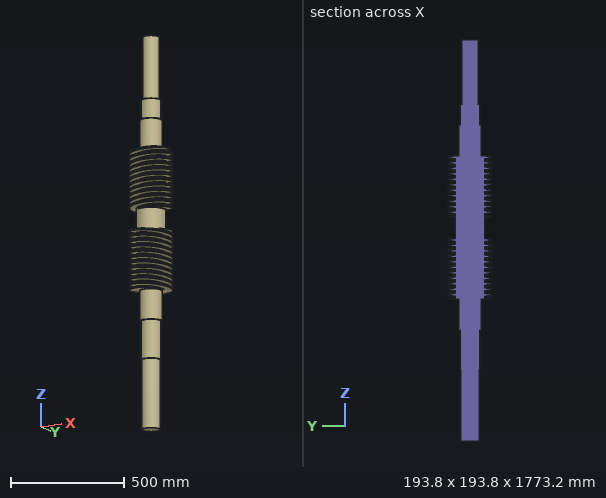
import math

import cadquery as cq

TOTAL_LENGTH = 1773.2
THREAD_DIAMETER = 193.8
ROOT_DIAMETER = 130.82

BOTTOM_JOURNAL_DIAMETER = 85.0
BOTTOM_JOURNAL_LENGTH = 315.0
SEAT_DIAMETER = 90.0
BOTTOM_SEAT_LENGTH = 175.0
SHOULDER_DIAMETER = 100.0
SHOULDER_LENGTH = 137.0

TOP_JOURNAL_DIAMETER = 75.0
TOP_JOURNAL_LENGTH = 285.0
TOP_SEAT_LENGTH = 90.0

NECK_LENGTH = 94.2

STARTS = 2
AXIAL_PITCH = 24.2
LEAD = STARTS * AXIAL_PITCH
TIP_ANGLE = 52.0
FLANK_ANGLE = 35.0
LOWER_TOOTH_ANGLE = 57.5
UPPER_TURN = 90.0
OVERRUN = 2.0

bottom_seat_z = BOTTOM_JOURNAL_LENGTH
bottom_shoulder_z = bottom_seat_z + BOTTOM_SEAT_LENGTH
worms_bottom_z = bottom_shoulder_z + SHOULDER_LENGTH
top_journal_z = TOTAL_LENGTH - TOP_JOURNAL_LENGTH
top_seat_z = top_journal_z - TOP_SEAT_LENGTH
worms_top_z = top_seat_z - SHOULDER_LENGTH
worms_length = worms_top_z - worms_bottom_z
worm_length = (worms_length - NECK_LENGTH) / 2
neck_middle_z = worms_bottom_z + worms_length / 2

root_radius = ROOT_DIAMETER / 2
tip_radius = THREAD_DIAMETER / 2


def polar(radius, degrees):
    angle = math.radians(degrees)
    return (radius * math.cos(angle), radius * math.sin(angle))


def cylinder(diameter, bottom_z, top_z):
    return cq.Workplane("XY").workplane(offset=bottom_z).circle(diameter / 2).extrude(top_z - bottom_z)


def thread_section(tooth_degrees):
    """Cross-section of the thread, with the middle of its first tooth at the given direction.

    The teeth overrun the root and the tip, for the cylinders there to bound them.
    """
    inner_radius = root_radius - OVERRUN
    outer_radius = tip_radius + OVERRUN
    middle_radius = (root_radius + tip_radius) / 2
    overrun_angle = FLANK_ANGLE * OVERRUN / (tip_radius - root_radius)
    half_tip = TIP_ANGLE / 2 - overrun_angle
    half_middle = (TIP_ANGLE + FLANK_ANGLE) / 2
    half_root = TIP_ANGLE / 2 + FLANK_ANGLE + overrun_angle
    tooth_spacing = 360 / STARTS
    section = cq.Workplane("XY").moveTo(*polar(inner_radius, tooth_degrees - half_root))
    for start in range(STARTS):
        tooth = tooth_degrees + start * tooth_spacing
        next_tooth = tooth + tooth_spacing
        section = (
            section
            .threePointArc(polar(middle_radius, tooth - half_middle), polar(outer_radius, tooth - half_tip))
            .threePointArc(polar(outer_radius, tooth), polar(outer_radius, tooth + half_tip))
            .threePointArc(polar(middle_radius, tooth + half_middle), polar(inner_radius, tooth + half_root))
            .threePointArc(
                polar(inner_radius, tooth + tooth_spacing / 2),
                polar(inner_radius, next_tooth - half_root),
            )
        )
    return section.close()


def left_hand_worm(bottom_z, bottom_tooth_degrees):
    """Threads of one worm, twisted upward from the bottom face and trimmed to the thread diameter."""
    twist = -360 * worm_length / LEAD
    teeth = thread_section(bottom_tooth_degrees).twistExtrude(worm_length, twist)
    teeth = teeth.translate((0, 0, bottom_z))
    return teeth.intersect(cylinder(THREAD_DIAMETER, bottom_z, bottom_z + worm_length))


def right_hand_copy(left_worm):
    """The opposite worm: mirrored about the middle of the neck, then turned on the axis."""
    mirrored = left_worm.mirror("XY", (0, 0, neck_middle_z))
    return mirrored.rotate((0, 0, 0), (0, 0, 1), UPPER_TURN)


def shaft():
    """The stepped shaft, with the worms' root cylinder and the neck as one step."""
    body = cylinder(BOTTOM_JOURNAL_DIAMETER, 0, bottom_seat_z)
    body = body.union(cylinder(SEAT_DIAMETER, bottom_seat_z, bottom_shoulder_z))
    body = body.union(cylinder(SHOULDER_DIAMETER, bottom_shoulder_z, worms_bottom_z))
    body = body.union(cylinder(ROOT_DIAMETER, worms_bottom_z, worms_top_z))
    body = body.union(cylinder(SHOULDER_DIAMETER, worms_top_z, top_seat_z))
    body = body.union(cylinder(SEAT_DIAMETER, top_seat_z, top_journal_z))
    return body.union(cylinder(TOP_JOURNAL_DIAMETER, top_journal_z, TOTAL_LENGTH))


lower_worm = left_hand_worm(worms_bottom_z, LOWER_TOOTH_ANGLE)
upper_worm = right_hand_copy(lower_worm)

result = shaft().union(lower_worm).union(upper_worm)